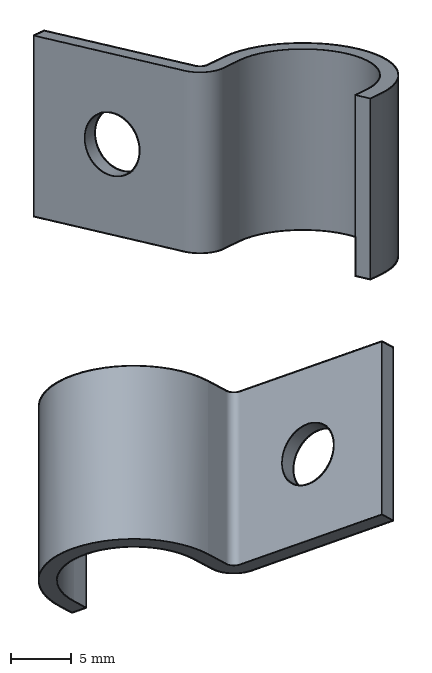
import cadquery as cq

total_length = 31.67
total_depth = 12.6
strap_width = 15.87
thickness = 1.52
loop_radius = 7.9
lip_length = 1.58
bend_inner_radius = 0.75
hole_diameter = 5.5
hole_x = 7.9

loop_inner_radius = loop_radius - thickness
loop_x = total_length - loop_radius
loop_y = total_depth - loop_radius
leg_outer_x = loop_x - loop_radius
leg_inner_x = leg_outer_x + thickness
bend_outer_radius = bend_inner_radius + thickness
lip_y = loop_y - lip_length


def strap():
    """Bent strip: flat tab, rounded bend, upright leg and half-round saddle."""
    sharp_profile = (
        cq.Workplane("XY")
        .moveTo(0, 0)
        .lineTo(leg_inner_x, 0)
        .lineTo(leg_inner_x, loop_y)
        .threePointArc((loop_x, loop_y + loop_inner_radius), (loop_x + loop_inner_radius, loop_y))
        .lineTo(loop_x + loop_inner_radius, lip_y)
        .lineTo(total_length, lip_y)
        .lineTo(total_length, loop_y)
        .threePointArc((loop_x, total_depth), (leg_outer_x, loop_y))
        .lineTo(leg_outer_x, thickness)
        .lineTo(0, thickness)
        .close()
    )
    body = sharp_profile.extrude(strap_width)
    outer_corner = cq.selectors.NearestToPointSelector((leg_inner_x, 0, strap_width / 2))
    inner_corner = cq.selectors.NearestToPointSelector((leg_outer_x, thickness, strap_width / 2))
    body = body.edges("|Z").edges(outer_corner).fillet(bend_outer_radius)
    return body.edges("|Z").edges(inner_corner).fillet(bend_inner_radius)


def screw_hole():
    """Cylinder through the tab thickness, centred on the strap width."""
    return (
        cq.Workplane("XZ")
        .center(hole_x, strap_width / 2)
        .circle(hole_diameter / 2)
        .extrude(-thickness)
    )


result = strap().cut(screw_hole())